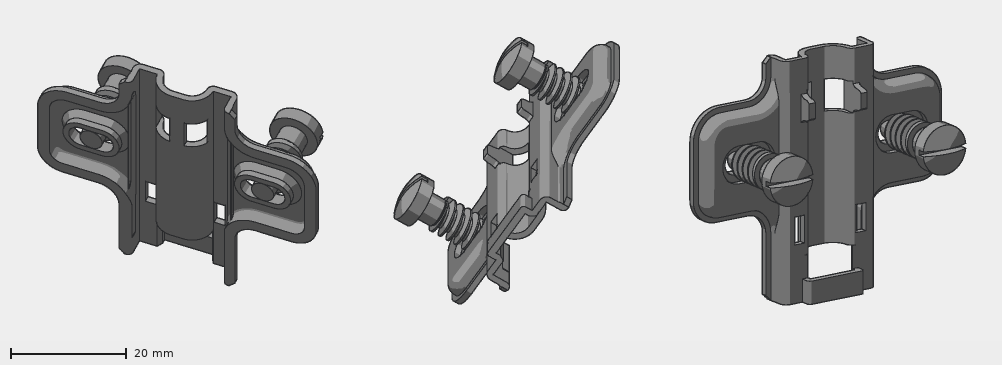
import cadquery as cq
import math


sheet = 1.2
flange = 1.1
wing_half_length = 26.0
wing_top = 10.25
wing_bottom = -10.45
leg_half_width = 10.8
plate_top = 17.4
plate_bottom = -26.55
top_corner_radius = 5.6
bottom_corner_radius = 4.65
top_neck_radius = 3.65
bottom_neck_radius = 3.85
end_chamfer = 1.1

pad_height = 3.5
pad_inset = 1.05
pocket_inset = 2.2
pocket_depth = pad_height - sheet
pad_wall_height = 1.5
pocket_bottom_end = -22.4
pocket_top_end = 14.05
rib_width = 0.15
rib_front = 1.25

channel_height = 5.0
channel_half_width = 9.65
channel_inner = 8.55
shoulder_radius = 1.4
bead_flat = 1.2
bead_radius = 4.05
bend_radius = 1.0
bead_end = -18.15
shoulder_front = channel_height - sheet
bead_reach = math.sqrt(bead_radius**2 - (bead_radius - shoulder_front) ** 2)
bead_half_width = bead_flat + bead_reach

bridge_top = -22.35
bridge_height = 6.95
bridge_inner = 4.65
bridge_thickness = 1.3
bridge_bevel_end = 4.85
bridge_corner_radius = 0.7
bridge_outer = bridge_inner + sheet

window_inner = 1.35
window_outer = 4.8
window_top = 11.5
window_bottom = 5.7
tab_thickness = 1.3
tab_height = 7.4
tab_top = 10.4
tab_bottom = 6.55
tab_waist = 6.25
tab_radius = 1.55
slot_inner = 5.4
slot_outer = 7.45
slot_top = -10.9
slot_bottom = -15.95

screw_x = 16.0
hole_radius = 2.15
hole_travel = 4.05
boss_radius = 3.2
boss_root_radius = 4.3
boss_straight = sheet
recess_radius = 3.45

core_radius = 2.1
thread_root_radius = 2.15
thread_radius = 3.35
thread_pitch = 1.595
thread_start = 2.6
thread_end = 10.05
groove_start = 0.82
groove_turns = 5.57
groove_mouth = 1.3
groove_root = 0.4
flank_height = (groove_mouth - groove_root) / 2
relief_radius = 2.25
relief_end = 10.25
neck_radius = 2.6
neck_start = 10.45
head_radius = 4.45
head_start = 13.95
head_rim = 16.5
head_top = 17.45
driver_slot_width = 0.9
driver_slot_bottom = 15.25

SIDES = (-1, 1)


def block(x0, x1, y0, y1, z0, z1):
    """A box given by its limits along X, Y and Z."""
    return cq.Workplane("XY").box(x1 - x0, y1 - y0, z1 - z0, centered=False).translate((x0, y0, z0))


def both_sides(shape):
    """A shape on the +X side together with its mirror image."""
    return shape.union(shape.mirror("YZ"))


def cross_slab(inset, depth, top_end, bottom_end):
    """A slab from the seating face, with the plate outline moved inwards by the inset."""
    side = wing_half_length - inset
    leg = leg_half_width - inset
    top = wing_top - inset
    bottom = wing_bottom + inset
    top_corner = top_corner_radius - inset
    bottom_corner = bottom_corner_radius - inset
    top_neck = top_neck_radius + inset
    bottom_neck = bottom_neck_radius + inset
    return (
        cq.Workplane("XZ")
        .moveTo(0, top_end)
        .lineTo(leg, top_end)
        .lineTo(leg, top + top_neck)
        .radiusArc((leg + top_neck, top), -top_neck)
        .lineTo(side - top_corner, top)
        .radiusArc((side, top - top_corner), top_corner)
        .lineTo(side, bottom + bottom_corner)
        .radiusArc((side - bottom_corner, bottom), bottom_corner)
        .lineTo(leg + bottom_neck, bottom)
        .radiusArc((leg, bottom - bottom_neck), -bottom_neck)
        .lineTo(leg, bottom_end)
        .lineTo(0, bottom_end)
        .mirrorY()
        .extrude(-depth)
    )


def make_flange():
    slab = cross_slab(0, flange, plate_top, plate_bottom)
    leg_corners = cq.selectors.BoxSelector(
        (-leg_half_width - 0.5, -0.5, plate_top - 0.5), (leg_half_width + 0.5, flange + 0.5, plate_top + 0.5)
    ) + cq.selectors.BoxSelector(
        (-leg_half_width - 0.5, -0.5, plate_bottom - 0.5), (leg_half_width + 0.5, flange + 0.5, plate_bottom + 0.5)
    )
    return slab.edges("|Y").edges(leg_corners).chamfer(end_chamfer)


def make_pads():
    overrun = 2 * pad_height
    raised = cross_slab(pad_inset, pad_height, plate_top + overrun, plate_bottom - overrun)
    raised = raised.faces(">Y").edges().fillet(pad_height - pad_wall_height)
    return raised.intersect(
        block(-wing_half_length, wing_half_length, 0, pad_height, plate_bottom, plate_top)
    )


def make_pocket():
    """The hollow under the pads, leaving a thin rib in line with each channel wall."""
    hollow = cross_slab(pocket_inset, pocket_depth, pocket_top_end, pocket_bottom_end)
    hollow = hollow.faces(">Y").edges().fillet(pocket_depth - pad_wall_height)
    hollow = hollow.cut(
        block(-channel_inner, channel_inner, 0, pocket_depth, plate_bottom, plate_top)
    )
    rib = block(
        channel_half_width - rib_width, channel_half_width,
        rib_front, pocket_depth, plate_bottom, plate_top,
    )
    return hollow.cut(both_sides(rib))


def make_channel():
    """The bent sheet: two walls, two shoulders and the round bead between them."""
    bead_back_radius = bead_radius - sheet
    back_ratio = bead_back_radius / bead_radius
    bead_back_end = (
        bead_flat + bead_reach * back_ratio,
        bead_radius - (bead_radius - shoulder_front) * back_ratio,
    )
    return (
        cq.Workplane("XY")
        .workplane(offset=plate_bottom)
        .moveTo(0, sheet)
        .lineTo(bead_flat, sheet)
        .radiusArc(bead_back_end, -bead_back_radius)
        .radiusArc((bead_half_width, channel_height), sheet)
        .lineTo(channel_half_width - shoulder_radius, channel_height)
        .radiusArc((channel_half_width, channel_height - shoulder_radius), shoulder_radius)
        .lineTo(channel_half_width, 0)
        .lineTo(channel_inner + bend_radius, 0)
        .radiusArc((channel_inner, bend_radius), bend_radius)
        .lineTo(channel_inner, shoulder_front)
        .lineTo(bead_half_width, shoulder_front)
        .radiusArc((bead_flat, 0), bead_radius)
        .lineTo(0, 0)
        .mirrorY()
        .extrude(plate_top - plate_bottom)
    )


def make_bridge():
    """The strap across the open end of the bead, with the bent shoulder edges that carry it."""
    edge = (
        cq.Workplane("XY")
        .workplane(offset=plate_bottom)
        .moveTo(bridge_outer, shoulder_front)
        .lineTo(bead_half_width, shoulder_front)
        .lineTo(bridge_inner, bridge_bevel_end)
        .lineTo(bridge_inner, channel_height)
        .lineTo(bridge_outer, channel_height)
        .close()
        .extrude(bead_end - plate_bottom)
    )
    strap = block(
        -bridge_outer, bridge_outer, channel_height, bridge_height, plate_bottom, bridge_top
    )
    strap = strap.edges("|Z and >Y").fillet(bridge_corner_radius)
    opening = block(
        -bridge_inner, bridge_inner,
        channel_height, bridge_height - bridge_thickness, plate_bottom, bridge_top,
    )
    return both_sides(edge).union(strap.cut(opening))


def make_tab():
    """A tab on the +X shoulder, with arcs that flare its root and narrow its tip."""
    root_flare = tab_radius - math.sqrt(tab_radius**2 - (tab_waist - channel_height) ** 2)
    tip_setback = tab_radius - math.sqrt(tab_radius**2 - (tab_height - tab_waist) ** 2)
    return (
        cq.Workplane("YZ")
        .workplane(offset=window_outer)
        .moveTo(shoulder_front, tab_bottom - root_flare)
        .lineTo(channel_height, tab_bottom - root_flare)
        .radiusArc((tab_waist, tab_bottom), tab_radius)
        .radiusArc((tab_height, tab_bottom + tip_setback), -tab_radius)
        .lineTo(tab_height, tab_top - tip_setback)
        .radiusArc((tab_waist, tab_top), -tab_radius)
        .radiusArc((channel_height, tab_top + root_flare), tab_radius)
        .lineTo(shoulder_front, tab_top + root_flare)
        .close()
        .extrude(tab_thickness)
    )


def oblong(radius, y):
    """An oblong outline at one Y level, its rounded ends set apart along X."""
    return (
        cq.Workplane("XZ", origin=(0, y, 0))
        .slot2D(hole_travel + 2 * radius, 2 * radius)
    )


def make_boss():
    """A boss standing on the pocket floor: straight at its face, flared towards its root."""
    face = oblong(boss_radius, 0).extrude(-boss_straight)
    taper_height = pocket_depth - boss_straight
    taper_angle = math.degrees(math.atan2(boss_root_radius - boss_radius, taper_height))
    root = oblong(boss_root_radius, pocket_depth).extrude(taper_height, taper=taper_angle)
    return face.union(root)


def make_screw_opening():
    """The oblong hole through a boss, widened to a recess behind it."""
    hole = oblong(hole_radius, 0).extrude(-pad_height)
    recess = oblong(recess_radius, pocket_depth).extrude(-sheet)
    return hole.union(recess)


def make_plate():
    inside = block(
        -channel_half_width, channel_half_width, 0, pad_height, plate_bottom, plate_top
    )
    plate = make_flange().union(make_pads()).cut(inside).union(make_channel()).cut(make_pocket())

    bead_cut = block(
        -bead_half_width, bead_half_width, 0, channel_height, plate_bottom, bead_end
    )
    plate = plate.cut(bead_cut).union(make_bridge())

    window = block(window_inner, window_outer, 0, channel_height, window_bottom, window_top)
    slot = block(slot_inner, slot_outer, 0, channel_height, slot_bottom, slot_top)
    plate = plate.cut(both_sides(window)).cut(both_sides(slot)).union(both_sides(make_tab()))

    for side in SIDES:
        seat = (side * screw_x, 0, 0)
        plate = plate.union(make_boss().translate(seat)).cut(make_screw_opening().translate(seat))
    return plate


def make_thread_groove():
    """The helical groove, around local Z; it starts below the thread and ends inside the last turn."""
    overcut = 0.1
    flank_slope = flank_height / (thread_radius - thread_root_radius)
    outer_half = groove_mouth / 2 + overcut * flank_slope
    height = groove_turns * thread_pitch
    helix = cq.Wire.makeHelix(thread_pitch, height, thread_root_radius)
    return (
        cq.Workplane("XZ")
        .moveTo(thread_root_radius, -groove_root / 2)
        .lineTo(thread_radius + overcut, -outer_half)
        .lineTo(thread_radius + overcut, outer_half)
        .lineTo(thread_root_radius, groove_root / 2)
        .close()
        .sweep(cq.Workplane(obj=helix), isFrenet=True)
        .translate((0, 0, groove_start))
    )


def make_screw():
    """A slotted cheese-head screw, turned about local Z with its tip at the origin."""
    dome_height = head_top - head_rim
    dome_radius = (head_radius**2 + dome_height**2) / (2 * dome_height)
    screw = (
        cq.Workplane("XZ")
        .lineTo(core_radius, 0)
        .lineTo(core_radius, thread_start)
        .lineTo(thread_radius, thread_start + flank_height)
        .lineTo(thread_radius, thread_end)
        .lineTo(relief_radius, thread_end)
        .lineTo(relief_radius, relief_end)
        .lineTo(neck_radius, neck_start)
        .lineTo(neck_radius, head_start)
        .lineTo(head_radius, head_start)
        .lineTo(head_radius, head_rim)
        .radiusArc((0, head_top), -dome_radius)
        .close()
        .revolve(360, (0, 0, 0), (0, 1, 0))
    )
    driver_slot = block(
        -head_radius, head_radius,
        -driver_slot_width / 2, driver_slot_width / 2, driver_slot_bottom, head_top,
    )
    screw = screw.cut(make_thread_groove()).cut(driver_slot)
    return screw.rotate((0, 0, 0), (1, 0, 0), -90)


plate = make_plate()
screws = [make_screw().translate((side * screw_x, 0, 0)) for side in SIDES]

result = cq.Compound.makeCompound([plate.val(), *[screw.val() for screw in screws]])